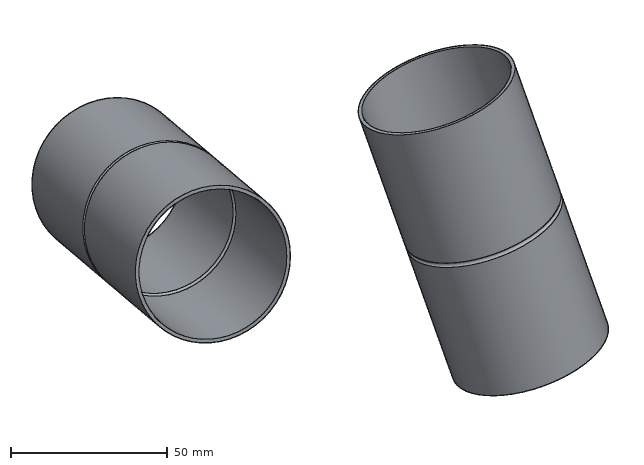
import cadquery as cq

length = 100.0
outer_diameter = 52.7
inner_diameter = 50.2
bead_width = 1.6
bead_depth = 0.65

outer_radius = outer_diameter / 2
inner_radius = inner_diameter / 2
half_length = length / 2
half_bead = bead_width / 2

wall_section = (
    cq.Workplane("XY")
    .moveTo(-half_length, outer_radius)
    .lineTo(-half_bead, outer_radius)
    .threePointArc((0, outer_radius - bead_depth), (half_bead, outer_radius))
    .lineTo(half_length, outer_radius)
    .lineTo(half_length, inner_radius)
    .lineTo(half_bead, inner_radius)
    .threePointArc((0, inner_radius - bead_depth), (-half_bead, inner_radius))
    .lineTo(-half_length, inner_radius)
    .close()
)

result = wall_section.revolve(360, (0, 0, 0), (1, 0, 0))